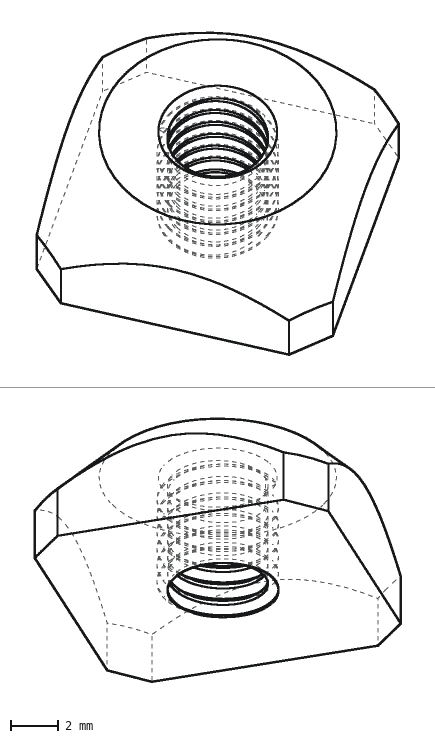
import cadquery as cq

side = 13.0
height = 5.5
corner_cut = 1.5
top_face_dia = side - 2 * corner_cut

minor_dia = 4.24
major_dia = 5.12
mouth_dia = 5.0
countersink_depth = (mouth_dia - minor_dia) / 2

pitch = 0.8
crest_width = pitch / 4
root_width = pitch / 8
overlap = 0.04
turns = 6.5


def make_body():
    block = cq.Workplane("XY").box(side, side, height, centered=(True, True, False))
    block = block.edges("|Z").chamfer(corner_cut)
    base_radius = top_face_dia / 2 + height
    cone = (
        cq.Workplane("XZ")
        .polyline([(0, 0), (base_radius, 0), (top_face_dia / 2, height), (0, height)])
        .close()
        .revolve(360, (0, 0), (0, 1))
    )
    return block.intersect(cone)


def make_hole():
    countersink_bottom = height - countersink_depth
    return (
        cq.Workplane("XZ")
        .polyline([
            (0, 0),
            (minor_dia / 2, 0),
            (minor_dia / 2, countersink_bottom),
            (mouth_dia / 2, height),
            (0, height),
        ])
        .close()
        .revolve(360, (0, 0), (0, 1))
    )


def make_thread_groove():
    minor_radius = minor_dia / 2
    major_radius = major_dia / 2
    half_opening = (pitch - crest_width) / 2
    half_root = root_width / 2
    flank_slope = (half_opening - half_root) / (major_radius - minor_radius)
    half_inner = half_opening + flank_slope * overlap
    inner_radius = minor_radius - overlap

    top_center = height - countersink_depth - half_inner
    length = turns * pitch
    start = top_center - length
    helix = cq.Wire.makeHelix(pitch, length, minor_radius).translate(cq.Vector(0, 0, start))
    return (
        cq.Workplane("XZ")
        .polyline([
            (inner_radius, start - half_inner),
            (major_radius, start - half_root),
            (major_radius, start + half_root),
            (inner_radius, start + half_inner),
        ])
        .close()
        .sweep(cq.Workplane(obj=helix), isFrenet=True)
    )


result = make_body().cut(make_hole()).cut(make_thread_groove())